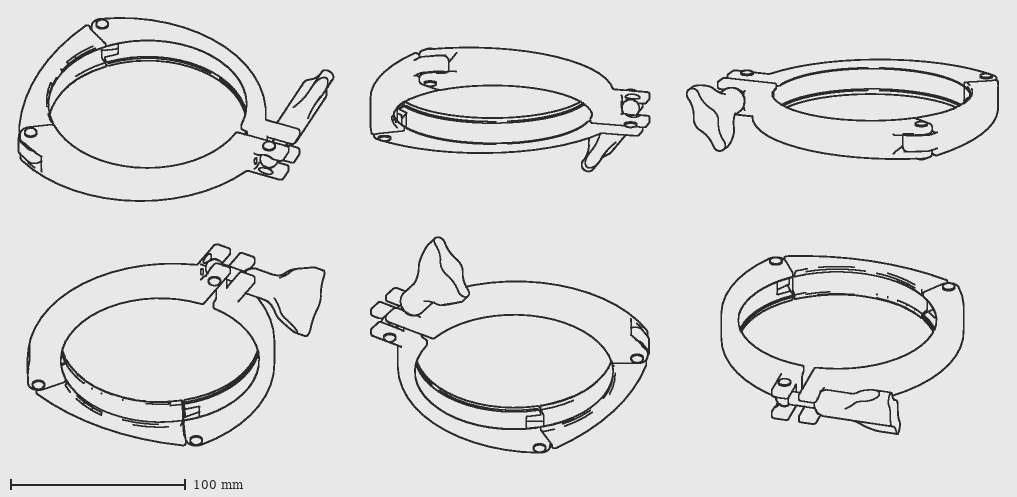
import cadquery as cq
import math

ring_height = 18.6
half_height = ring_height / 2
bore_radius = 56.7
edge_round = 1.1

groove_radius = 61.0
groove_root_half_height = 5.0
groove_mouth_half_height = 6.2
groove_root_round = 1.3
groove_mouth_round = 0.8
groove_reach = 3.2

arm_arc_x = -10.5
arm_arc_y = -14.3
arm_arc_radius = 83.1

ear_inner_y = 3.0
ear_outer_y = 13.3
ear_end_x = 89.8
ear_outer_round = 2.2
ear_inner_round = 1.5
ear_root_round = 1.3
ear_middle_y = (ear_inner_y + ear_outer_y) / 2

hinge_x = -50.5
hinge_y = 51.5
arc_normal = (hinge_x - arm_arc_x, hinge_y - arm_arc_y)
hinge_distance = math.hypot(*arc_normal)
hinge_radius = arm_arc_radius - hinge_distance
hinge_gap = 1.0
clearance = hinge_radius + hinge_gap
hinge_edge_angle = math.radians(-33)
hinge_slot_x = -38.8

slot_half_height = 5.0
slot_edge_round = 1.1
tongue_half_height = 4.8
tongue_length = 10.3
tongue_end_round = 4.3
tongue_back = 9.5
tongue_shoulder = 2.2
tongue_root_y = 47.7
tongue_root_depth = 0.2
ear_slot_x = 73.2

link_arc_x = 73.1
link_left_x = -67.7
link_arc_radius = link_arc_x - link_left_x
link_tip_round = 1.6

pin_radius = 2.4
head_radius = 3.5
head_rim_height = 0.8
head_dome_height = 1.1

bolt_x = 79.3
bolt_radius = 3.8
bolt_end_y = 39.7
eye_radius = 5.1
hub_radius = 7.6
nut_end_y = 57.2
nut_dome_y = 17.5
nut_dome_radius = 7.8
nut_seat_radius = 8.1
wing_angle = 60
wing_tip_centre = 16.13
wing_tip_radius = 3.8
wing_root_angle = math.radians(56)

wing_root_y = 27.0
wing_hollow_middle = (8.67, 31.8)
wing_hollow_end = (11.6, 35.7)
wing_bulge_middle = (14.0, 38.0)
wing_bulge_end = (15.5, 40.7)
wing_slant_end = (20.0, 51.5)
wing_outer_reach = 22.2

far = 158.9
tolerance = 0.02

tongue_angle = math.degrees(math.atan2(arc_normal[1], arc_normal[0])) - 90
edge_direction = (math.cos(hinge_edge_angle), math.sin(hinge_edge_angle))
edge_normal = (math.sin(hinge_edge_angle), -math.cos(hinge_edge_angle))


def edge_start(offset):
    """Point beside the hinge axis, at the given distance toward the link."""
    return (hinge_x + offset * edge_normal[0], hinge_y + offset * edge_normal[1])


def edge_at_bore(offset):
    """Where a line parallel to the arm's straight end, at the given offset, meets the bore."""
    x, y = edge_start(offset)
    along = x * edge_direction[0] + y * edge_direction[1]
    reach = -along - math.sqrt(along**2 - (x**2 + y**2) + bore_radius**2)
    return (x + reach * edge_direction[0], y + reach * edge_direction[1])


def between(start, end, radius, centre=(0.0, 0.0)):
    """Middle point of the shorter arc from start to end about the centre."""
    x = (start[0] + end[0]) / 2 - centre[0]
    y = (start[1] + end[1]) / 2 - centre[1]
    scale = radius / math.hypot(x, y)
    return (centre[0] + x * scale, centre[1] + y * scale)


def hinge_frame(z=0.0):
    """Workplane at the upper hinge with its x axis along the arm's outer arc."""
    return cq.Workplane("XY", origin=(hinge_x, hinge_y, z)).transformed(rotate=(0, 0, tongue_angle))


def mirrored(body):
    return body.mirror("XZ")


def groove():
    """Ring that cuts the groove: cylindrical root, conical sides and a rounded mouth."""
    slope = (groove_mouth_half_height - groove_root_half_height) / (groove_radius - bore_radius)
    tilt = math.atan(slope)
    round_r = bore_radius + groove_mouth_round
    round_z = groove_mouth_half_height + groove_mouth_round * (
        math.cos(tilt) - slope * (1 - math.sin(tilt))
    )

    def on_round(angle):
        return (
            round_r - groove_mouth_round * math.sin(angle),
            round_z - groove_mouth_round * math.cos(angle),
        )

    upper_half = (
        cq.Workplane("XZ")
        .moveTo(bore_radius - groove_reach, 0)
        .lineTo(groove_radius, 0)
        .lineTo(groove_radius, groove_root_half_height)
        .lineTo(*on_round(tilt))
        .threePointArc(on_round((tilt + math.pi / 2) / 2), (bore_radius, round_z))
        .lineTo(bore_radius - groove_reach, round_z)
        .close()
        .revolve(360, (0, 0, 0), (0, 1, 0))
    )
    ring = upper_half.union(upper_half.mirror("XY")).clean()
    return ring.edges(cq.selectors.RadiusNthSelector(-1)).fillet(groove_root_round)


def arm_plate():
    arc_centre = (arm_arc_x, arm_arc_y)
    ear_root = (arm_arc_x + math.sqrt(arm_arc_radius**2 - (ear_outer_y - arm_arc_y) ** 2), ear_outer_y)
    tangent = (
        hinge_x + hinge_radius * arc_normal[0] / hinge_distance,
        hinge_y + hinge_radius * arc_normal[1] / hinge_distance,
    )
    end_top = edge_start(hinge_radius)
    end_bottom = edge_at_bore(hinge_radius)
    ear_bore = (math.sqrt(bore_radius**2 - ear_inner_y**2), ear_inner_y)
    plate = (
        cq.Workplane("XY", origin=(0, 0, -half_height))
        .moveTo(*ear_bore)
        .lineTo(ear_end_x, ear_inner_y)
        .lineTo(ear_end_x, ear_outer_y)
        .lineTo(*ear_root)
        .threePointArc(between(ear_root, tangent, arm_arc_radius, arc_centre), tangent)
        .threePointArc(between(tangent, end_top, hinge_radius, (hinge_x, hinge_y)), end_top)
        .lineTo(*end_bottom)
        .threePointArc(between(end_bottom, ear_bore, bore_radius), ear_bore)
        .close()
        .extrude(ring_height)
    )

    def corner(point):
        return plate.edges(cq.selectors.NearestToPointSelector((*point, 0)))

    plate = corner((ear_end_x, ear_outer_y)).fillet(ear_outer_round)
    for point in ((ear_end_x, ear_inner_y), ear_bore, end_bottom):
        plate = corner(point).fillet(ear_inner_round)
    plate = corner(ear_root).fillet(ear_root_round)
    return plate.faces("<Z or >Z").edges().fillet(edge_round)


def hinge_slot():
    slot = cq.Workplane("XY").box(far, far, 2 * slot_half_height)
    return slot.translate((hinge_slot_x - far / 2, far / 2, 0))


def ear_slot():
    slot = cq.Workplane("XY").box(far, far, 2 * slot_half_height)
    return slot.translate((ear_slot_x + far / 2, 0, 0))


def pin(x, y):
    """Straight shaft through the ring with a domed head on each flat face."""
    rim = half_height + head_rim_height
    dome_radius = (head_radius**2 + head_dome_height**2) / (2 * head_dome_height)
    dome_centre = rim + head_dome_height - dome_radius
    half_angle = math.asin(head_radius / dome_radius) / 2
    dome_middle = (dome_radius * math.sin(half_angle), dome_centre + dome_radius * math.cos(half_angle))
    half_pin = (
        cq.Workplane("XZ")
        .lineTo(pin_radius, 0)
        .lineTo(pin_radius, half_height)
        .lineTo(head_radius, half_height)
        .lineTo(head_radius, rim)
        .threePointArc(dome_middle, (0, rim + head_dome_height))
        .close()
        .revolve(360, (0, 0, 0), (0, 1, 0))
    )
    return half_pin.union(half_pin.mirror("XY")).translate((x, y, 0))


def nut_seat():
    return cq.Workplane("XY").sphere(nut_seat_radius).translate((bolt_x, nut_dome_y, 0))


def on_slot_mouth(edge):
    """True for slot edges on the arm's outer arc, the hinge round and the ear's outer face."""
    start = edge.startPoint()
    end = edge.endPoint()
    if max(abs(start.z), abs(end.z)) > slot_half_height + tolerance:
        return False
    middle = edge.positionAt(0.5)
    on_arc = abs(math.hypot(middle.x - arm_arc_x, middle.y - arm_arc_y) - arm_arc_radius) < tolerance
    on_ear = abs(middle.y - ear_outer_y) < tolerance
    on_hinge = abs(math.hypot(middle.x - hinge_x, middle.y - hinge_y) - hinge_radius) < tolerance
    return on_arc or on_ear or on_hinge


def arm():
    body = arm_plate().cut(hinge_slot()).cut(ear_slot())
    body = body.edges().filter(on_slot_mouth).fillet(slot_edge_round)
    body = body.cut(groove()).cut(nut_seat())
    return body.union(pin(hinge_x, hinge_y))


def link_tip():
    """Corner where the clearance arc around the hinge axis meets the link's outer arc."""
    dx = hinge_x - link_arc_x
    span = math.hypot(dx, hinge_y)
    turn = math.acos((link_arc_radius**2 + span**2 - clearance**2) / (2 * link_arc_radius * span))
    angle = math.atan2(hinge_y, dx) + turn
    return (link_arc_x + link_arc_radius * math.cos(angle), link_arc_radius * math.sin(angle))


def link_plate():
    end_top = edge_start(clearance)
    end_bottom = edge_at_bore(clearance)
    tip = link_tip()
    tip_low, top_low, bottom_low = [(x, -y) for x, y in (tip, end_top, end_bottom)]
    hinge_middle = between(tip, end_top, clearance, (hinge_x, hinge_y))
    plate = (
        cq.Workplane("XY", origin=(0, 0, -half_height))
        .moveTo(*tip)
        .threePointArc(hinge_middle, end_top)
        .lineTo(*end_bottom)
        .threePointArc((-bore_radius, 0), bottom_low)
        .lineTo(*top_low)
        .threePointArc((hinge_middle[0], -hinge_middle[1]), tip_low)
        .threePointArc((link_left_x, 0), tip)
        .close()
        .extrude(ring_height)
    )
    for corner in (tip, tip_low):
        plate = plate.edges(cq.selectors.NearestToPointSelector((*corner, 0))).fillet(link_tip_round)
    return plate.faces("<Z or >Z").edges().fillet(edge_round)


def tongue():
    frame = hinge_frame(-tongue_half_height)

    def local_point(point):
        local = frame.plane.toLocalCoords(cq.Vector(*point, -tongue_half_height))
        return (local.x, local.y)

    root_x = link_arc_x - math.sqrt(link_arc_radius**2 - tongue_root_y**2) + tongue_root_depth
    plate = (
        frame.moveTo(-tongue_back, -hinge_radius)
        .lineTo(tongue_length, -hinge_radius)
        .lineTo(tongue_length, hinge_radius)
        .lineTo(-tongue_shoulder, hinge_radius)
        .tangentArcPoint(local_point(link_tip()), relative=False)
        .lineTo(*local_point((root_x, tongue_root_y)))
        .close()
        .extrude(2 * tongue_half_height)
    )
    for side in (-hinge_radius, hinge_radius):
        corner = frame.plane.toWorldCoords((tongue_length, side, tongue_half_height)).toTuple()
        plate = plate.edges(cq.selectors.NearestToPointSelector(corner)).fillet(tongue_end_round)
    return plate


def pin_hole(x, y):
    return cq.Workplane("XY", origin=(x, y, -half_height)).circle(pin_radius).extrude(ring_height)


def link():
    upper = tongue().cut(pin_hole(hinge_x, hinge_y))
    return link_plate().cut(groove()).union(upper).union(mirrored(upper))


def eye_bolt():
    eye_y = -ear_middle_y
    eye = cq.Workplane("XY").sphere(eye_radius).translate((bolt_x, eye_y, 0))
    eye = eye.intersect(cq.Workplane("XY").box(far * 2, far, 2 * tongue_half_height))
    shank_length = bolt_end_y - eye_y
    shank = cq.Workplane("XZ", origin=(bolt_x, eye_y, 0)).circle(bolt_radius).extrude(-shank_length)
    return eye.union(shank).cut(pin_hole(bolt_x, eye_y))


def nut_hub():
    shoulder = nut_dome_y - math.sqrt(nut_dome_radius**2 - hub_radius**2)
    diagonal = nut_dome_radius * math.sin(math.radians(45))
    return (
        cq.Workplane("XY")
        .moveTo(0, nut_dome_y - nut_dome_radius)
        .threePointArc((diagonal, nut_dome_y - diagonal), (hub_radius, shoulder))
        .lineTo(hub_radius, nut_end_y)
        .lineTo(0, nut_end_y)
        .close()
        .revolve(360, (0, 0, 0), (0, 1, 0))
    )


def wing():
    cos_root = math.cos(wing_root_angle)
    sin_root = math.sin(wing_root_angle)
    drop = hub_radius - wing_tip_radius
    reach = (wing_tip_centre**2 - drop**2) / (2 * (wing_tip_centre * cos_root - drop))
    flank_radius = reach - hub_radius
    centre = (reach * cos_root, reach * sin_root)
    root = (hub_radius * cos_root, hub_radius * sin_root)
    share = wing_tip_radius / (wing_tip_radius + flank_radius)
    tip_start = (wing_tip_centre + (centre[0] - wing_tip_centre) * share, centre[1] * share)
    flank = between(root, tip_start, flank_radius, centre)
    section = (
        cq.Workplane("XZ", origin=(0, nut_end_y, 0))
        .lineTo(*root)
        .threePointArc(flank, tip_start)
        .threePointArc((wing_tip_centre + wing_tip_radius, 0), (tip_start[0], -tip_start[1]))
        .threePointArc((flank[0], -flank[1]), (root[0], -root[1]))
        .close()
        .extrude(nut_end_y)
    )
    outline = (
        cq.Workplane("XY")
        .moveTo(0, wing_root_y)
        .lineTo(hub_radius, wing_root_y)
        .threePointArc(wing_hollow_middle, wing_hollow_end)
        .threePointArc(wing_bulge_middle, wing_bulge_end)
        .lineTo(*wing_slant_end)
        .lineTo(wing_outer_reach, nut_end_y)
        .lineTo(0, nut_end_y)
        .close()
        .revolve(360, (0, 0, 0), (0, 1, 0))
    )
    return section.intersect(outline)


def wing_nut():
    body = nut_hub()
    body = body.union(wing()).union(wing().rotate((0, 0, 0), (0, 1, 0), 180))
    body = body.rotate((0, 0, 0), (0, 1, 0), -wing_angle).translate((bolt_x, 0, 0))
    hole = cq.Workplane("XZ", origin=(bolt_x, 0, 0)).circle(bolt_radius).extrude(-bolt_end_y)
    return body.cut(hole)


upper_arm = arm()
lower_arm = mirrored(upper_arm).union(pin(bolt_x, -ear_middle_y))
middle_link = link()
bolt = eye_bolt()
nut = wing_nut()

bodies = [upper_arm, lower_arm, middle_link, bolt, nut]
result = cq.Compound.makeCompound([body.solids().val() for body in bodies])